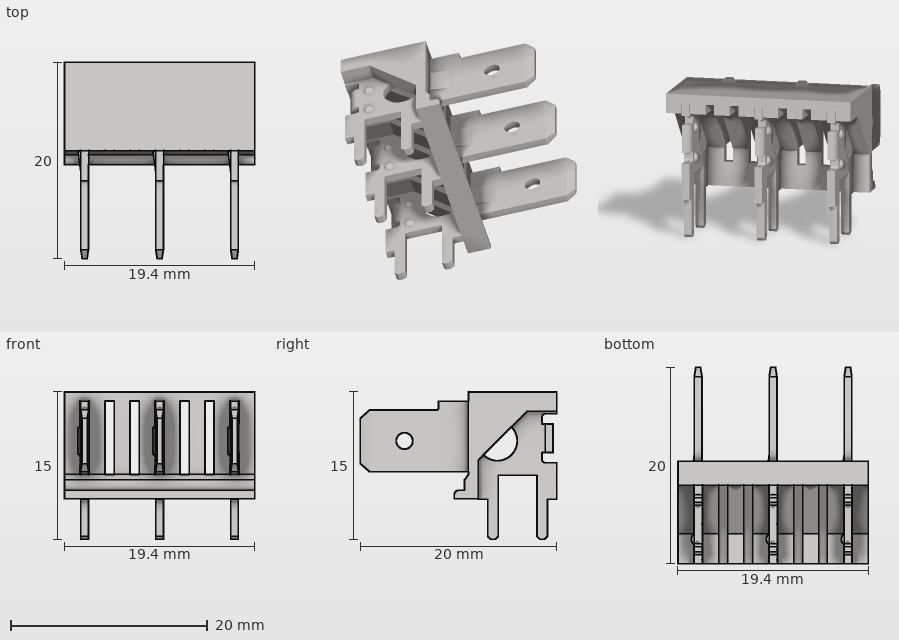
import cadquery as cq


length = 19.36
height = 10.9
depth = 9.0
wall_thickness = 1.0
roof_thickness = 2.0
wedge_run = 4.95
lip_reach = 1.45
lip_top = 0.9
lip_radius = 0.5
sill_step = 0.4
sill_top = 2.5
sill_chamfer_height = 0.55

slot_grid = 2.54
slot_count = 7
slot_width = 0.9
slot_top = height - 0.95

terminal_count = 3
terminal_pitch = 3 * slot_grid
plate_thickness = 0.8
plate_bottom = -0.05
plate_front = depth - wall_thickness
overall_depth = 20.0
overall_height = 15.0

axis_z = height - 5.0
tab_height = 6.3
tab_tip_length = 0.95
tab_tip_drop = 0.85
tab_tip_thickness = 0.5
tab_hole_diameter = 1.65
tab_hole_depth = 15.5
shoulder_depth = 12.05
shoulder_radius = 0.2

stop_back = depth + 0.1
stop_length = 2.0
stop_rise = 0.28
stop_back_height = 2.7
stop_front_height = 3.0

body_hole_diameter = 4.0
body_hole_depth = 6.05
leg_width = 1.1
leg_pitch = 5.0
first_leg_depth = 1.5
leg_tip_chamfer = 0.3
leg_gap_top = height - 8.5
notch_depth = 1.5
notch_top = height - 2.25
notch_bottom = height - 7.2
notch_radius = 0.3

tongue_height = 2.9
tongue_back = 0.4
curl_radius = 0.85

bump_diameter = 1.05
bump_height = 0.3
bump_depth = 2.5
bump_pitch = 3.1
bump_middle_z = height - 5.45


def side_plane(x):
    """YZ sketch plane at the given X, extruding toward +X."""
    return cq.Workplane("YZ", origin=(x, 0, 0))


def plate_box(back, front, bottom, top):
    """Block of plate thickness, centred on X, between two depths and two heights."""
    return cq.Workplane("XY").box(
        plate_thickness, front - back, top - bottom
    ).translate((0, -(back + front) / 2, (bottom + top) / 2))


def make_housing():
    wedge_back = plate_front - wedge_run
    roof_underside = height - roof_thickness
    lip_front = depth + lip_reach
    body = (
        side_plane(-length / 2)
        .moveTo(0, height)
        .lineTo(-depth, height)
        .lineTo(-depth, sill_top)
        .lineTo(-depth - sill_step, sill_top - sill_chamfer_height)
        .lineTo(-depth - sill_step, lip_top)
        .lineTo(-lip_front + lip_radius, lip_top)
        .radiusArc((-lip_front, lip_top - lip_radius), -lip_radius)
        .lineTo(-lip_front, 0)
        .lineTo(-plate_front, 0)
        .lineTo(-plate_front, roof_underside - wedge_run)
        .lineTo(-wedge_back, roof_underside)
        .lineTo(0, roof_underside)
        .close()
        .extrude(length)
    )
    slot = cq.Workplane("XY").box(slot_width, depth, slot_top - sill_top)
    slot_middle_z = (slot_top + sill_top) / 2
    for index in range(slot_count):
        x = (index - (slot_count - 1) / 2) * slot_grid
        body = body.cut(slot.translate((x, -depth / 2, slot_middle_z)))
    return body


def make_tab():
    """Mating tab whose tip narrows in height and in thickness."""
    tip_start = overall_depth - tab_tip_length
    tab_bottom = axis_z - tab_height / 2
    tab_top = axis_z + tab_height / 2
    shank = plate_box(plate_front, tip_start, tab_bottom, tab_top)
    tip = (
        cq.Workplane("XZ", origin=(0, -tip_start, axis_z))
        .rect(plate_thickness, tab_height)
        .workplane(offset=tab_tip_length)
        .rect(tab_tip_thickness, tab_height - 2 * tab_tip_drop)
        .loft(combine=True)
    )
    shoulder = plate_box(plate_front, shoulder_depth, axis_z, slot_top)
    tab = shank.union(shoulder)
    tab = tab.edges(
        cq.selectors.NearestToPointSelector((0, -shoulder_depth, tab_top))
    ).fillet(shoulder_radius)
    hole = (
        side_plane(-plate_thickness / 2)
        .center(-tab_hole_depth, axis_z)
        .circle(tab_hole_diameter / 2)
        .extrude(plate_thickness)
    )
    return tab.union(tip).cut(hole)


def make_stop():
    """Ramp that rises toward the housing and widens toward the tab tip."""
    face_x = -plate_thickness / 2
    stop_front = stop_back + stop_length
    outline = (
        side_plane(face_x - stop_rise)
        .polyline([
            (-stop_back, axis_z - stop_back_height / 2),
            (-stop_back, axis_z + stop_back_height / 2),
            (-stop_front, axis_z + stop_front_height / 2),
            (-stop_front, axis_z - stop_front_height / 2),
        ])
        .close()
        .extrude(stop_rise)
    )
    ramp = (
        cq.Workplane("XY", origin=(0, 0, axis_z - stop_front_height / 2))
        .polyline([
            (face_x, -stop_back),
            (face_x - stop_rise, -stop_back),
            (face_x, -stop_front),
        ])
        .close()
        .extrude(stop_front_height)
    )
    return outline.intersect(ramp)


def make_leg(leg_depth):
    leg = plate_box(
        leg_depth - leg_width / 2, leg_depth + leg_width / 2, height - overall_height, leg_gap_top
    )
    return leg.faces("<Z").edges("|X").chamfer(leg_tip_chamfer)


def make_rear_body():
    """Plate behind the front wall, with two legs, a round hole and a rear notch."""
    body = plate_box(0, plate_front, plate_bottom, slot_top)
    second_leg_depth = first_leg_depth + leg_pitch
    leg_gap = plate_box(
        first_leg_depth + leg_width / 2, second_leg_depth - leg_width / 2, plate_bottom, leg_gap_top
    )
    notch = plate_box(-notch_depth, notch_depth, notch_bottom, notch_top)
    notch = notch.faces("<Y").edges("|X").fillet(notch_radius)
    hole = (
        side_plane(-plate_thickness / 2)
        .center(-body_hole_depth, axis_z)
        .circle(body_hole_diameter / 2)
        .extrude(plate_thickness)
    )
    body = body.cut(leg_gap).cut(notch).cut(hole)
    for leg_depth in (first_leg_depth, second_leg_depth):
        body = body.union(make_leg(leg_depth))
    return body


def make_tongue():
    """Tongue that leaves the notch floor and curls a quarter turn toward +X."""
    face_x = -plate_thickness / 2
    curl_start = tongue_back + curl_radius
    curl_end_x = face_x + curl_radius
    inner_radius = curl_radius - plate_thickness
    bottom = (notch_top + notch_bottom - tongue_height) / 2
    return (
        cq.Workplane("XY", origin=(0, 0, bottom))
        .moveTo(face_x, -notch_depth)
        .lineTo(face_x, -curl_start)
        .radiusArc((curl_end_x, -tongue_back), curl_radius)
        .lineTo(curl_end_x, -tongue_back - plate_thickness)
        .radiusArc((face_x + plate_thickness, -curl_start), -inner_radius)
        .lineTo(face_x + plate_thickness, -notch_depth)
        .close()
        .extrude(tongue_height)
    )


def make_bump(z):
    """Spherical cap standing on the -X face of the rear body."""
    rim_radius = bump_diameter / 2
    sphere_radius = (rim_radius**2 + bump_height**2) / (2 * bump_height)
    return (
        cq.Workplane("XY", origin=(-plate_thickness / 2, -bump_depth, z))
        .lineTo(0, rim_radius)
        .radiusArc((-bump_height, 0), -sphere_radius)
        .close()
        .revolve(360, (0, 0), (1, 0))
    )


def make_terminal():
    terminal = make_rear_body().union(make_tab()).union(make_stop()).union(make_tongue())
    for side in (-1, 1):
        terminal = terminal.union(make_bump(bump_middle_z + side * bump_pitch / 2))
    return terminal


result = make_housing()
terminal = make_terminal()
for index in range(terminal_count):
    terminal_x = (index - (terminal_count - 1) / 2) * terminal_pitch
    result = result.union(terminal.translate((terminal_x, 0, 0)))